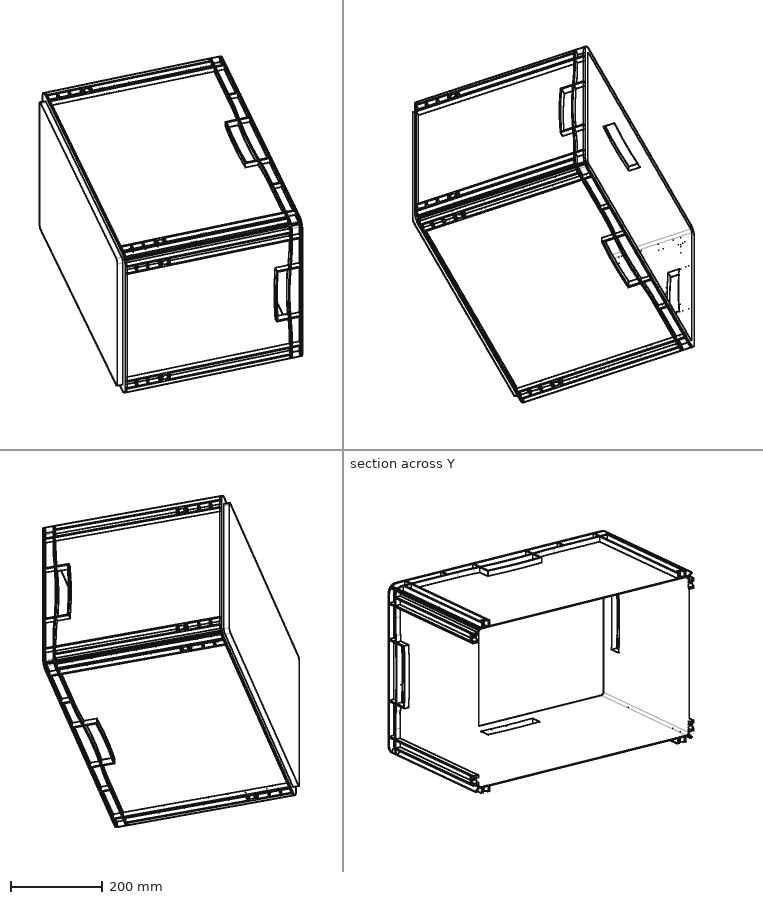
import cadquery as cq
import math

length_x = 598.0
height_y = 420.0
width_z = 398.0
corner_radius = 21.0

rib_height = 12.0
wall_thickness = 3.0
rib_thickness = 3.0
overlap = 1.0

foot_height = 12.5
foot_inset_x = 17.5
foot_inset_z = 15.5
foot_radius = 9.0
base_flange_thickness = 4.0
base_depth = height_y - foot_height

rim_y = height_y / 2
rim_thickness = 4.0
belt_depth = 24.0
belt_sag = 5.3
belt_sag_half_width = 130.0
belt_arc_half_width = 88.0

handle_half_width = 73.0
handle_frame_bottom = 61.8
outer_rim_rib = 157.7

outer_rib_inset = 21.3
inner_rib_inset = 41.8
diagonal_rib_thickness = 4.0
cross_rib_thickness = 2.5
cross_rib_depths = [304.0, 325.4, 353.0, 379.3]
socket_block_depth = 13.2
socket_diameter = 12.4

belt_slope = 2 * math.atan(belt_sag / belt_sag_half_width)
belt_radius = belt_arc_half_width / math.sin(belt_slope)
blend_radius = (belt_sag_half_width - belt_arc_half_width) / math.sin(belt_slope)
belt_middle_depth = belt_depth + belt_sag


def rounded_block(size_x, size_z, radius, start_depth, end_depth):
    """Block with rounded Y edges, between two depths below the rim."""
    depth = end_depth - start_depth
    block = cq.Workplane("XY").box(size_x, depth, size_z).edges("|Y").fillet(radius)
    return block.translate((0, rim_y - (start_depth + end_depth) / 2, 0))


def wall_block(bottom, top, left, right, start_depth, end_depth):
    """Box on a wall facing +Z, between two heights in Z."""
    size = (right - left, end_depth - start_depth, top - bottom)
    corner = (left, rim_y - end_depth, bottom)
    return cq.Workplane("XY").box(*size, centered=False).translate(corner)


def arc_drop(radius, distance):
    """How far an arc departs from its tangent at a distance from the tangent point."""
    return radius - math.sqrt(radius**2 - distance**2)


def belt_band(base, height):
    """Sagging middle stretch of the belt rib on a wall facing +Z."""
    arc_end = belt_arc_half_width
    band_end = belt_sag_half_width
    blend_middle = (arc_end + band_end) / 2
    arc_end_drop = belt_sag - arc_drop(belt_radius, arc_end)
    blend_drop = arc_drop(blend_radius, band_end - blend_middle)
    top = rim_y - belt_depth
    bottom = top - rib_thickness
    return (
        cq.Workplane("XY", origin=(0, 0, base))
        .moveTo(-band_end, top)
        .threePointArc((-blend_middle, top - blend_drop), (-arc_end, top - arc_end_drop))
        .threePointArc((0, top - belt_sag), (arc_end, top - arc_end_drop))
        .threePointArc((blend_middle, top - blend_drop), (band_end, top))
        .lineTo(band_end, bottom)
        .threePointArc((blend_middle, bottom - blend_drop), (arc_end, bottom - arc_end_drop))
        .threePointArc((0, bottom - belt_sag), (-arc_end, bottom - arc_end_drop))
        .threePointArc((-blend_middle, bottom - blend_drop), (-band_end, bottom))
        .close()
        .extrude(height)
    )


def handle_plate(half_width, top_depth, bottom_depth, base, height):
    """Plate with upper and lower edges parallel to the belt arc; depths are at its middle."""
    top = rim_y - top_depth
    bottom = rim_y - bottom_depth
    end_rise = arc_drop(belt_radius, half_width)
    return (
        cq.Workplane("XY", origin=(0, 0, base))
        .moveTo(-half_width, top + end_rise)
        .threePointArc((0, top), (half_width, top + end_rise))
        .lineTo(half_width, bottom + end_rise)
        .threePointArc((0, bottom), (-half_width, bottom + end_rise))
        .close()
        .extrude(height)
    )


def handle_frame(base, height):
    return handle_plate(handle_half_width, belt_middle_depth, handle_frame_bottom, base, height)


def handle_opening(base, height):
    half_width = handle_half_width - rib_thickness
    top_depth = belt_middle_depth + rib_thickness
    bottom_depth = handle_frame_bottom - rib_thickness
    return handle_plate(half_width, top_depth, bottom_depth, base, height)


def edge_channel(span, base, top):
    """Ribs and socket block along the left end of a wall facing +Z."""
    left = -span / 2
    channel_left = left + outer_rib_inset + rib_thickness
    channel_right = left + inner_rib_inset
    ribs = wall_block(base, top, left + outer_rib_inset, channel_left, belt_depth, base_depth)
    ribs = ribs.union(wall_block(base, top, channel_right, channel_right + rib_thickness, 0, base_depth))
    for depth in cross_rib_depths:
        rib_end = depth + cross_rib_thickness
        ribs = ribs.union(wall_block(base, top, channel_left, channel_right, depth, rib_end))
    return ribs.union(socket_block(channel_left, channel_right, base, top))


def socket_block(left, right, base, top):
    """Bored block across an edge channel, joined by webs to the cross ribs either side."""
    first_rib, second_rib = cross_rib_depths[:2]
    centre = (left + right) / 2
    centre_depth = (first_rib + second_rib + cross_rib_thickness) / 2
    start = centre_depth - socket_block_depth / 2
    web_half = cross_rib_thickness / 2
    block = wall_block(base, top, left, right, start, start + socket_block_depth)
    block = block.union(wall_block(base, top, centre - web_half, centre + web_half, first_rib, second_rib))
    bore = (
        cq.Workplane("XY", origin=(centre, rim_y - centre_depth, base))
        .circle(socket_diameter / 2)
        .extrude(top - base)
    )
    return block.cut(bore)


def wall_ribs(span, distance, rim_ribs):
    """Every rib on a wall facing +Z whose outer face lies at the given distance."""
    base = distance - rib_height - overlap
    height = rib_height + overlap
    channel = edge_channel(span, base, distance)
    ribs = channel.union(channel.mirror("YZ"))
    flat_end = span / 2 - corner_radius
    sag_start = belt_sag_half_width
    belt_end = belt_depth + rib_thickness
    for left, right in [(-flat_end, -sag_start), (sag_start, flat_end)]:
        ribs = ribs.union(wall_block(base, distance, left, right, belt_depth, belt_end))
    ribs = ribs.union(belt_band(base, height))
    ribs = ribs.union(handle_frame(base, height))
    for position in rim_ribs:
        half = rib_thickness / 2
        ribs = ribs.union(wall_block(base, distance, position - half, position + half, 0, belt_end))
    return ribs


def corner_belts():
    """Belt rib carried round the four corners."""
    belt = rounded_block(length_x, width_z, corner_radius, belt_depth, belt_depth + rib_thickness)
    clear_x = length_x - 2 * corner_radius
    clear_z = width_z - 2 * corner_radius
    belt = belt.cut(cq.Workplane("XY").box(clear_x, height_y, width_z))
    return belt.cut(cq.Workplane("XY").box(length_x, height_y, clear_z))


def diagonal_rib(sign_x, sign_z):
    reach = 2 * corner_radius
    rib = cq.Workplane("XY").box(reach, base_depth, diagonal_rib_thickness)
    rib = rib.rotate((0, 0, 0), (0, 1, 0), -45 * sign_x * sign_z)
    centre_y = rim_y - base_depth / 2
    return rib.translate((sign_x * length_x / 2, centre_y, sign_z * width_z / 2))


def build_crate():
    envelope = rounded_block(length_x, width_z, corner_radius, 0, base_depth)
    panel_x = length_x - 2 * rib_height
    panel_z = width_z - 2 * rib_height
    cavity_x = panel_x - 2 * wall_thickness
    cavity_z = panel_z - 2 * wall_thickness

    handle_ribs = [sign * (handle_half_width - rib_thickness / 2) for sign in (-1, 1)]
    long_ribs = handle_ribs + [-outer_rim_rib, outer_rim_rib]
    long_wall = wall_ribs(length_x, width_z / 2, long_ribs)
    end_wall = wall_ribs(width_z, length_x / 2, handle_ribs)
    end_wall = end_wall.rotate((0, 0, 0), (0, 1, 0), 90)

    body = rounded_block(panel_x, panel_z, corner_radius - rib_height, 0, base_depth)
    for ribs in (long_wall, long_wall.mirror("XY"), end_wall, end_wall.mirror("YZ")):
        body = body.union(ribs)
    for sign_x in (-1, 1):
        for sign_z in (-1, 1):
            body = body.union(diagonal_rib(sign_x, sign_z))
    body = body.union(corner_belts()).intersect(envelope)

    flange_start = base_depth - base_flange_thickness
    body = body.union(rounded_block(length_x, width_z, corner_radius, 0, rim_thickness))
    body = body.union(rounded_block(length_x, width_z, corner_radius, flange_start, base_depth))

    cavity_radius = corner_radius - rib_height - wall_thickness
    body = body.cut(rounded_block(cavity_x, cavity_z, cavity_radius, 0, flange_start))

    foot_x = length_x - 2 * foot_inset_x
    foot_z = width_z - 2 * foot_inset_z
    body = body.union(rounded_block(foot_x, foot_z, foot_radius, base_depth - overlap, height_y))

    long_openings = handle_opening(-width_z / 2, width_z)
    end_openings = handle_opening(-length_x / 2, length_x).rotate((0, 0, 0), (0, 1, 0), 90)
    return body.cut(long_openings).cut(end_openings)


result = build_crate()